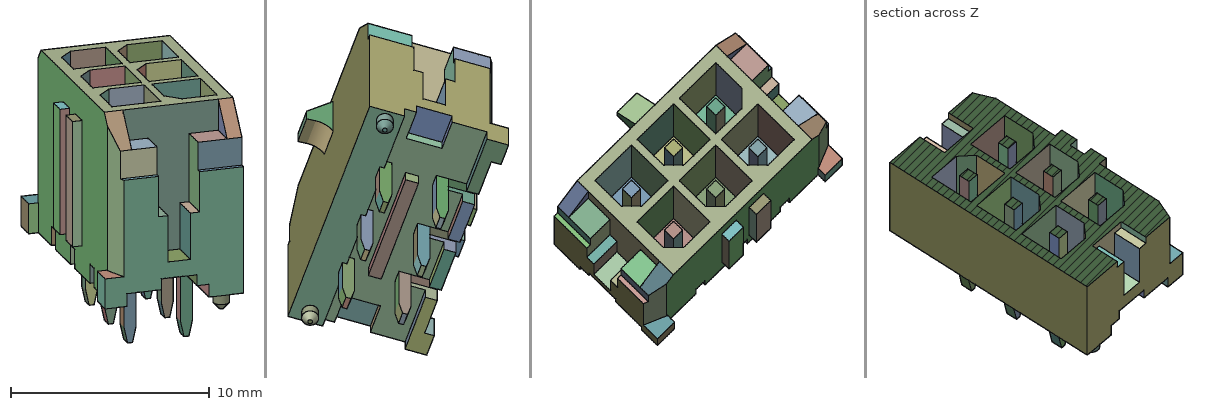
import cadquery as cq

SIDES = (-1, 1)

width = 13.15
depth = 6.85
height = 9.9
half_width = width / 2
front_y = -depth / 2
back_y = depth / 2

core_half_width = 4.93
arm_half_width = 6.33
arm_step_z = 6.76
arm_top_z = 8.25
front_web = 0.99
back_web = 0.79

upper_window_width = 2.18
upper_window_z = 4.6
lower_window_width = 1.18
lower_window_z = 2.13

bevel_x = 1.16
bevel_y = 0.49
rib_depth = 0.51
foot_width = 1.22
foot_height = 1.6
rib_inner_x = 0.46
rib_width = 1.03
rib_top_z = 8.3

columns = 3
rows = 2
pitch = 3.0
socket_size = 2.59
socket_chamfer = 0.72
socket_floor_z = lower_window_z

pin_size = 0.65
pin_tip_depth = 0.26
pin_bottom_z = -3.18
pin_taper_z = -2.33
pin_top_z = 7.89

recess_front_y = -2.79
recess_back_y = 1.58
recess_height = 0.68
floor_rib_width = 0.68
floor_rib_length = 2 * pitch
side_notch_width = 1.9
side_notch_z = 1.26
front_notch_z = 1.03

peg_diameter = 0.85
peg_tip_diameter = 0.24
peg_x = 6.0
peg_y = 2.43
peg_shoulder_z = -0.54
peg_tip_z = -0.88

latch_width = 1.42
latch_reach = 1.41
latch_top_z = 9.34
latch_nose_top_z = 7.72
latch_nose_bottom_z = 6.98
latch_arc_start = 0.91
latch_arc_start_z = 7.04
latch_arc_middle = 0.3
latch_arc_middle_z = 6.86
latch_root_z = 6.5


def block(x_range, y_range, z_range):
    """Box between the two given limits on each axis, in either order."""
    (x0, x1), (y0, y1), (z0, z1) = map(sorted, (x_range, y_range, z_range))
    return cq.Workplane("XY").box(x1 - x0, y1 - y0, z1 - z0, centered=False).translate((x0, y0, z0))


def centred(size):
    """Limits of a length centred on zero."""
    return (-size / 2, size / 2)


def grid_positions(count):
    """Centres of evenly pitched positions about zero."""
    return [(i - (count - 1) / 2) * pitch for i in range(count)]


def housing_shell():
    right_side = [
        (half_width, 0),
        (half_width, arm_step_z),
        (arm_half_width, arm_step_z),
        (arm_half_width, arm_top_z),
        (core_half_width, height),
    ]
    left_side = [(-x, z) for x, z in reversed(right_side)]
    return cq.Workplane("XZ", origin=(0, back_y, 0)).polyline(right_side + left_side).close().extrude(depth)


def corner_bevel(side):
    points = [
        (side * (half_width - bevel_x), front_y),
        (side * half_width, front_y),
        (side * half_width, front_y + bevel_y),
    ]
    return cq.Workplane("XY", origin=(0, 0, foot_height)).polyline(points).close().extrude(height)


def side_windows(side):
    x_range = (side * core_half_width, side * half_width)
    above_arms = block(x_range, (front_y + front_web, back_y - back_web), (arm_top_z, height))
    upper = block(x_range, centred(upper_window_width), (upper_window_z, height))
    lower = block(x_range, centred(lower_window_width), (lower_window_z, height))
    return above_arms.union(upper).union(lower)


def foot(side):
    x_range = (side * (half_width - foot_width), side * half_width)
    return block(x_range, (front_y - rib_depth, recess_front_y), (0, foot_height))


def front_rib(side):
    x_range = (side * rib_inner_x, side * (rib_inner_x + rib_width))
    return block(x_range, (front_y - rib_depth, front_y), (foot_height, rib_top_z))


def latch():
    profile = (
        cq.Workplane("YZ", origin=(-latch_width / 2, 0, 0))
        .moveTo(back_y, latch_top_z)
        .lineTo(back_y + latch_reach, latch_nose_top_z)
        .lineTo(back_y + latch_reach, latch_nose_bottom_z)
        .lineTo(back_y + latch_arc_start, latch_arc_start_z)
        .threePointArc((back_y + latch_arc_middle, latch_arc_middle_z), (back_y, latch_root_z))
        .close()
    )
    return profile.extrude(latch_width)


def socket(x, y, chamfer_side):
    """Square socket with its front corner on one side cut off."""
    half = socket_size / 2
    points = [
        (x - chamfer_side * half, y - half),
        (x + chamfer_side * (half - socket_chamfer), y - half),
        (x + chamfer_side * half, y - half + socket_chamfer),
        (x + chamfer_side * half, y + half),
        (x - chamfer_side * half, y + half),
    ]
    return cq.Workplane("XY", origin=(0, 0, socket_floor_z)).polyline(points).close().extrude(height)


def pin(x, y):
    """Square pin whose lower end tapers from front to back."""
    half = pin_size / 2
    tip = pin_tip_depth / 2
    points = [
        (y - half, pin_top_z),
        (y - half, pin_taper_z),
        (y - tip, pin_bottom_z),
        (y + tip, pin_bottom_z),
        (y + half, pin_taper_z),
        (y + half, pin_top_z),
    ]
    return cq.Workplane("YZ", origin=(x - half, 0, 0)).polyline(points).close().extrude(pin_size)


def peg(side):
    points = [
        (0, 0),
        (peg_diameter / 2, 0),
        (peg_diameter / 2, peg_shoulder_z),
        (peg_tip_diameter / 2, peg_tip_z),
        (0, peg_tip_z),
    ]
    return cq.Workplane("XZ").polyline(points).close().revolve().translate((side * peg_x, peg_y, 0))


column_xs = grid_positions(columns)
row_ys = grid_positions(rows)

body = housing_shell()
for side in SIDES:
    body = body.cut(corner_bevel(side)).cut(side_windows(side))
    body = body.union(foot(side)).union(front_rib(side))
body = body.union(latch())

body = body.cut(block(centred(width), (recess_front_y, recess_back_y), (0, recess_height)))
for side in SIDES:
    notch_x = (side * core_half_width, side * half_width)
    body = body.cut(block(notch_x, centred(side_notch_width), (0, side_notch_z)))
    body = body.union(peg(side))
body = body.union(block(centred(floor_rib_length), centred(floor_rib_width), (0, recess_height)))

pin_front_y = row_ys[0] - pin_size / 2
for x in column_xs:
    notch_x = (x - pin_size / 2, x + pin_size / 2)
    body = body.cut(block(notch_x, (front_y, pin_front_y), (0, front_notch_z)))

for x in column_xs:
    for y in row_ys:
        is_reversed = x == column_xs[-1] and y == row_ys[-1]
        body = body.cut(socket(x, y, 1 if is_reversed else -1)).union(pin(x, y))

result = body